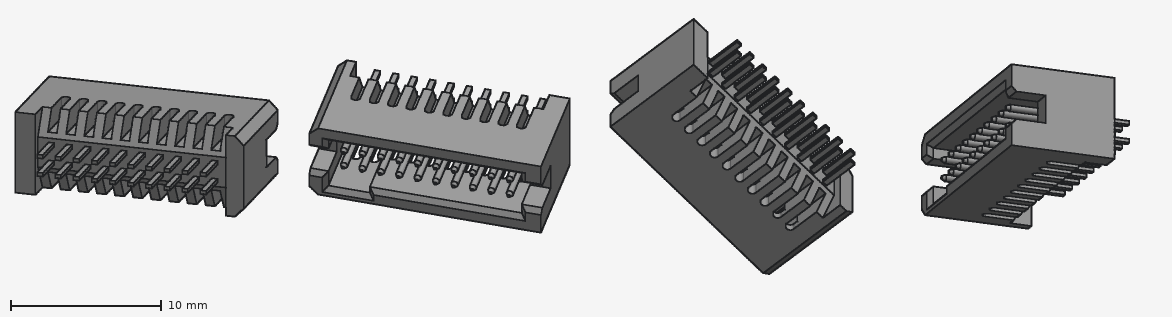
import cadquery as cq

HOUSING_LENGTH = 16.0
HOUSING_HEIGHT = 5.71
HOUSING_DEPTH = 7.4
OVERALL_DEPTH = 9.35
X_LEFT = -HOUSING_LENGTH / 2
Y_MATING = OVERALL_DEPTH / 2
Y_REAR = Y_MATING - HOUSING_DEPTH
Z_TOP = HOUSING_HEIGHT / 2
KEY_CHAMFER = 0.62
MOUTH_CHAMFER = 0.35

NOTCH_HEIGHT = 1.95
NOTCH_DEPTH = 2.46
Y_NOTCH_FLOOR = Y_MATING - NOTCH_DEPTH

LEFT_WALL = 1.42
RIGHT_WALL = 1.25
X_INNER_LEFT = X_LEFT + LEFT_WALL
X_INNER_RIGHT = -X_LEFT - RIGHT_WALL
RECESS_DEPTH = 0.54
SLOPE_DEPTH = 1.0
NOSE_HEIGHT = 2.13
Y_NOSE = Y_REAR + RECESS_DEPTH

COLUMNS = 10
PITCH = 1.27
INNER_CENTRE = (LEFT_WALL - RIGHT_WALL) / 2
COLUMN_X = [INNER_CENTRE + (i - (COLUMNS - 1) / 2) * PITCH for i in range(COLUMNS)]
SIDES = (1, -1)

POCKET_HALF_HEIGHT = 1.72
POCKET_DEPTH = 4.14
KEYWAY_HALF_HEIGHT = 2.22
KEYWAY_COLUMNS = 2
Y_POCKET_FLOOR = Y_MATING - POCKET_DEPTH

SLOT_WIDTH = 0.63
SLOT_FLOOR_Z = 1.41
SLOT_END_DEPTH = 3.5
Y_SLOT_END = Y_MATING - SLOT_END_DEPTH

PIN_DIAMETER = 0.47
PIN_TIP_DIAMETER = 0.2
PIN_TIP_LENGTH = 0.26
PIN_SETBACK = 0.55
TAIL_WIDTH = 0.4
TAIL_THICKNESS = 0.26
Y_PIN_TIP = Y_MATING - PIN_SETBACK
Y_TAIL_END = -OVERALL_DEPTH / 2


def box(x_range, y_range, z_range):
    """Box between pairs of X, Y and Z limits, each pair in either order."""
    x0, x1 = sorted(x_range)
    y0, y1 = sorted(y_range)
    z0, z1 = sorted(z_range)
    return cq.Workplane("XY").box(x1 - x0, y1 - y0, z1 - z0, centered=False).translate((x0, y0, z0))


def prism_along_x(points, x_start, x_end):
    """Prism of a closed (y, z) outline between two X positions."""
    return cq.Workplane("YZ").polyline(points).close().extrude(x_end - x_start).translate((x_start, 0, 0))


def make_housing():
    housing = cq.Workplane("XY").box(HOUSING_LENGTH, HOUSING_DEPTH, HOUSING_HEIGHT)
    housing = housing.translate((0, (Y_MATING + Y_REAR) / 2, 0))
    return housing.edges("|Y and >X").chamfer(KEY_CHAMFER)


def make_side_notches():
    half = NOTCH_HEIGHT / 2
    mouth = half + MOUTH_CHAMFER
    y_chamfer = Y_MATING - MOUTH_CHAMFER
    outline = [
        (Y_NOTCH_FLOOR, -half),
        (y_chamfer, -half),
        (Y_MATING, -mouth),
        (Y_MATING, mouth),
        (y_chamfer, half),
        (Y_NOTCH_FLOOR, half),
    ]
    return prism_along_x(outline, X_LEFT, -X_LEFT)


def make_pocket():
    """Mating pocket, with the keyway under the last columns."""
    y_range = (Y_POCKET_FLOOR, Y_MATING)
    x_keyway = COLUMN_X[-KEYWAY_COLUMNS] - PITCH / 2
    pocket = box((X_INNER_LEFT, X_INNER_RIGHT), y_range, (-POCKET_HALF_HEIGHT, POCKET_HALF_HEIGHT))
    keyway = box((x_keyway, X_INNER_RIGHT), y_range, (-KEYWAY_HALF_HEIGHT, 0))
    return pocket.union(keyway)


def chamfer_pocket_mouth(housing):
    """Lead-in chamfer on the pocket rim at the mating face."""
    rim = cq.selectors.BoxSelector(
        (X_INNER_LEFT - MOUTH_CHAMFER, Y_POCKET_FLOOR, -KEYWAY_HALF_HEIGHT - MOUTH_CHAMFER),
        (X_INNER_RIGHT + MOUTH_CHAMFER, Y_MATING + MOUTH_CHAMFER, KEYWAY_HALF_HEIGHT),
    )
    return housing.faces(">Y").edges(rim).chamfer(MOUTH_CHAMFER)


def make_rear_recess():
    """Space around the sloped nose, between the end walls."""
    half_nose = NOSE_HEIGHT / 2
    y_slope = Y_NOSE + SLOPE_DEPTH
    outline = [
        (Y_REAR, -Z_TOP),
        (y_slope, -Z_TOP),
        (Y_NOSE, -half_nose),
        (Y_NOSE, half_nose),
        (y_slope, Z_TOP),
        (Y_REAR, Z_TOP),
    ]
    return prism_along_x(outline, X_INNER_LEFT, X_INNER_RIGHT)


def make_slot(x, side):
    """Slot of one column, open at the rear and on the upper or lower face."""
    radius = SLOT_WIDTH / 2
    y_arc = Y_SLOT_END - radius
    return (
        cq.Workplane("XY", origin=(0, 0, side * SLOT_FLOOR_Z))
        .moveTo(x - radius, Y_REAR)
        .lineTo(x - radius, y_arc)
        .threePointArc((x, Y_SLOT_END), (x + radius, y_arc))
        .lineTo(x + radius, Y_REAR)
        .close()
        .extrude(side * (Z_TOP - SLOT_FLOOR_Z))
    )


def make_pin(x, z):
    """Round pin with a tapered tip, joined to a rectangular tail at the pocket floor."""
    y_shoulder = Y_PIN_TIP - PIN_TIP_LENGTH
    profile = [
        (0, Y_POCKET_FLOOR),
        (PIN_DIAMETER / 2, Y_POCKET_FLOOR),
        (PIN_DIAMETER / 2, y_shoulder),
        (PIN_TIP_DIAMETER / 2, Y_PIN_TIP),
        (0, Y_PIN_TIP),
    ]
    contact = cq.Workplane("XY").polyline(profile).close().revolve(360, (0, 0, 0), (0, 1, 0))
    tail = box(
        (-TAIL_WIDTH / 2, TAIL_WIDTH / 2),
        (Y_TAIL_END, Y_POCKET_FLOOR),
        (-TAIL_THICKNESS / 2, TAIL_THICKNESS / 2),
    )
    return contact.union(tail).translate((x, 0, z))


result = chamfer_pocket_mouth(make_housing().cut(make_pocket()))
result = result.cut(make_side_notches()).cut(make_rear_recess())

for column_x in COLUMN_X:
    for side in SIDES:
        result = result.cut(make_slot(column_x, side))

for column_x in COLUMN_X:
    for side in SIDES:
        result = result.union(make_pin(column_x, side * PITCH / 2))